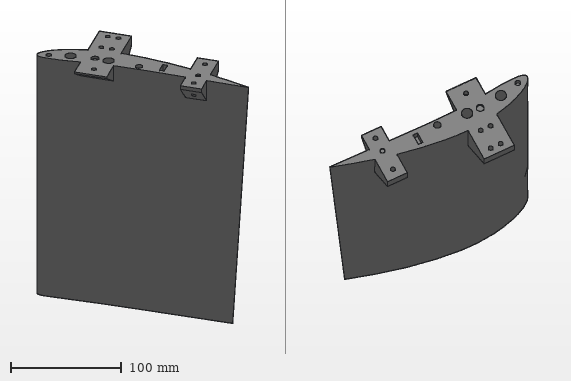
import cadquery as cq
import math

span = 250.0
root_chord = 200.0
tip_chord = 185.0
trailing_edge_thickness = 0.5

upper_surface = [
    (85, 4.5), (70, 8.1), (52, 11.0), (36, 12.0),
    (20, 10.4), (8, 6.7), (2, 3.1), (0.4, 1.2),
]
root_lower_surface = [
    (0.4, -0.8), (2, -1.6), (6, -1.9), (13, -1.7),
    (24, -0.3), (36, 0.5), (60, 0.6), (80, 0.2),
]
tip_lower_surface = [
    (0.4, -0.8), (2, -1.6), (6, -1.9), (13, -1.7),
    (24, -1.2), (36, -0.8), (60, -0.5), (80, -0.3),
]

front_bracket_x = 57.0
front_bracket_width = 30.5
front_bracket_back = 56.0
front_bracket_front = -20.0
front_bracket_edge = 1.8
front_bracket_slope = 34.4

rear_bracket_x = 150.2
rear_bracket_width = 20.0
rear_bracket_back = 36.8
rear_bracket_front = -15.2
rear_bracket_edge = 3.8
rear_bracket_slope = 48.0

back_edge = 10.0
back_slope = 34.4
bracket_core_y = 5.0

screw_diameter = 4.2
screw_hole_depth = 50.0
screw_pitch_x = 10.0
front_bracket_pair_rows = (49.0, 29.0)
front_bracket_single_y = -10.0
rear_bracket_screw_rows = (27.8, -7.0)

spar_holes = [(30.0, 6.2, 10.0), (65.2, 8.2, 10.0), (94.5, 6.5, 6.5)]

pin_sockets = [(10.8, 2.0, 5.0, 5.0), (52.2, 8.8, 7.0, 2.5), (rear_bracket_x, 7.0, 4.5, 1.5)]

pocket_x = 116.2
pocket_y = 10.8
pocket_width = 4.5
pocket_length = 10.5
pocket_depth = 7.5


def profile(z, chord, lower_surface):
    """Closed airfoil wire at height z, from the trailing edge over the nose and back."""
    half_edge = trailing_edge_thickness / 2
    nose = (0, 0)
    upper_points = [(x * chord / 100, y * chord / 100) for x, y in upper_surface]
    lower_points = [(x * chord / 100, y * chord / 100) for x, y in lower_surface]
    outline = (
        cq.Workplane("XY", origin=(0, 0, z))
        .moveTo(chord, half_edge)
        .spline(upper_points + [nose], includeCurrent=True)
        .spline(lower_points + [(chord, -half_edge)], includeCurrent=True)
        .close()
    )
    return outline.val()


def wing():
    """Panel with straight lines from the tip profile to the root profile."""
    tip = profile(0, tip_chord, tip_lower_surface)
    root = profile(span, root_chord, root_lower_surface)
    return cq.Workplane("XY").add(cq.Solid.makeLoft([tip, root], True))


def bracket(x, width, back, front, front_edge, front_slope):
    """Block below the root face whose underside slopes from both ends down into the wing."""
    back_drop = math.tan(math.radians(back_slope)) * (back - bracket_core_y)
    front_drop = math.tan(math.radians(front_slope)) * (bracket_core_y - front)
    outline = [
        (back, span),
        (back, span - back_edge),
        (bracket_core_y, span - back_edge - back_drop),
        (bracket_core_y, span - front_edge - front_drop),
        (front, span - front_edge),
        (front, span),
    ]
    return (
        cq.Workplane("YZ", origin=(x - width / 2, 0, 0))
        .polyline(outline)
        .close()
        .extrude(width)
    )


def hole(x, y, diameter, depth):
    """Round cutter going down from the root face."""
    return cq.Workplane("XY", origin=(x, y, span)).circle(diameter / 2).extrude(-depth)


def pocket():
    """Rectangular cutter going down from the root face."""
    return (
        cq.Workplane("XY", origin=(pocket_x, pocket_y, span))
        .rect(pocket_width, pocket_length)
        .extrude(-pocket_depth)
    )


def screw_places():
    """Centers of all the screw holes in both brackets."""
    places = [(front_bracket_x, front_bracket_single_y)]
    for y in front_bracket_pair_rows:
        places.append((front_bracket_x - screw_pitch_x / 2, y))
        places.append((front_bracket_x + screw_pitch_x / 2, y))
    for y in rear_bracket_screw_rows:
        places.append((rear_bracket_x, y))
    return places


front_bracket = bracket(
    front_bracket_x,
    front_bracket_width,
    front_bracket_back,
    front_bracket_front,
    front_bracket_edge,
    front_bracket_slope,
)
rear_bracket = bracket(
    rear_bracket_x,
    rear_bracket_width,
    rear_bracket_back,
    rear_bracket_front,
    rear_bracket_edge,
    rear_bracket_slope,
)
result = wing().union(front_bracket).union(rear_bracket)

for x, y, diameter in spar_holes:
    result = result.cut(hole(x, y, diameter, span))

for x, y, diameter, depth in pin_sockets:
    result = result.cut(hole(x, y, diameter, depth))

for x, y in screw_places():
    result = result.cut(hole(x, y, screw_diameter, screw_hole_depth))

result = result.cut(pocket())